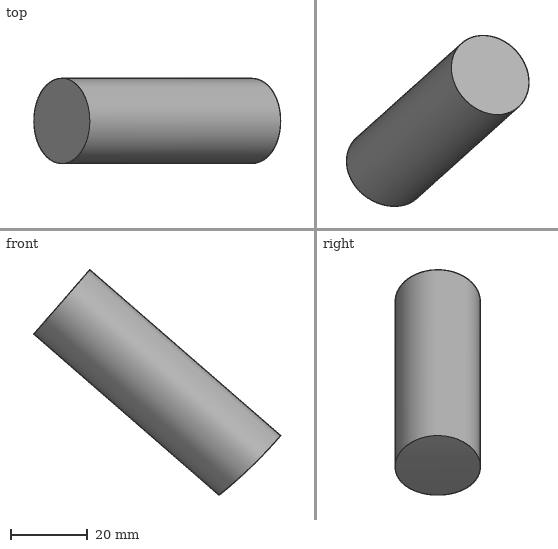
import cadquery as cq
import math

diameter = 22.25
tilt = 41.0
upper_length = 65.8
lower_length = 63.9
end_bulge = 0.5

radius = diameter / 2

chord = math.hypot(diameter, upper_length - lower_length)
normal_x = diameter / chord
normal_z = (lower_length - upper_length) / chord
bulge_point = (
    (upper_length + lower_length) / 2 + end_bulge * normal_x,
    end_bulge * normal_z,
)

bar = cq.Workplane("YZ").circle(radius).extrude(upper_length + end_bulge)

side_profile = (
    cq.Workplane("XZ")
    .moveTo(0, radius)
    .lineTo(upper_length, radius)
    .threePointArc(bulge_point, (lower_length, -radius))
    .lineTo(0, -radius)
    .close()
    .extrude(radius, both=True)
)

result = bar.intersect(side_profile).rotate((0, 0, 0), (0, 1, 0), tilt)